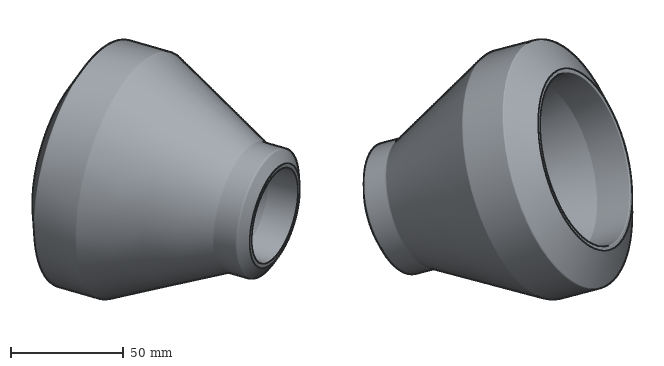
import cadquery as cq
import math

length = 100.0
large_diameter = 114.3
large_bore = 79.3
small_diameter = 60.3
small_bore = 44.3

large_end_length = 30.0
small_end_length = 15.0

land = 2.0
bevel_angle = 30.0

edge_radius = 1.0

bore_mouth_radius = 0.3

large_bore_length = 17.0

cone_start = large_end_length
cone_end = length - small_end_length


def bevel_length(outer_radius, land_radius):
    """Axial length of a bevel from the land edge to the outer surface."""
    return (outer_radius - land_radius) * math.tan(math.radians(bevel_angle))


def make_reducer():
    """Revolve the wall section about the X axis."""
    large_radius = large_diameter / 2
    small_radius = small_diameter / 2
    large_bore_radius = large_bore / 2
    small_bore_radius = small_bore / 2
    large_land_radius = large_bore_radius + land
    small_land_radius = small_bore_radius + land
    large_bevel = bevel_length(large_radius, large_land_radius)
    small_bevel = bevel_length(small_radius, small_land_radius)

    wall = (
        cq.Workplane("XZ")
        .moveTo(0, large_bore_radius)
        .lineTo(0, large_land_radius)
        .lineTo(large_bevel, large_radius)
        .lineTo(cone_start, large_radius)
        .lineTo(cone_end, small_radius)
        .lineTo(length - small_bevel, small_radius)
        .lineTo(length, small_land_radius)
        .lineTo(length, small_bore_radius)
        .lineTo(cone_end, small_bore_radius)
        .lineTo(large_bore_length, large_bore_radius)
        .close()
    )
    return wall.revolve(360, (0, 0, 0), (1, 0, 0))


def round_outer_edges(body):
    """Round both edges of each straight cylindrical end."""
    for diameter in (large_diameter, small_diameter):
        edge_circles = body.edges("%CIRCLE").filter(
            lambda edge: math.isclose(edge.radius(), diameter / 2)
        )
        body = edge_circles.fillet(edge_radius)
    return body


def round_bore_mouth(body):
    """Round the inner edge of the large end face."""
    mouth_edge = body.faces("<X").edges(cq.selectors.RadiusNthSelector(0))
    return mouth_edge.fillet(bore_mouth_radius)


result = round_bore_mouth(round_outer_edges(make_reducer()))